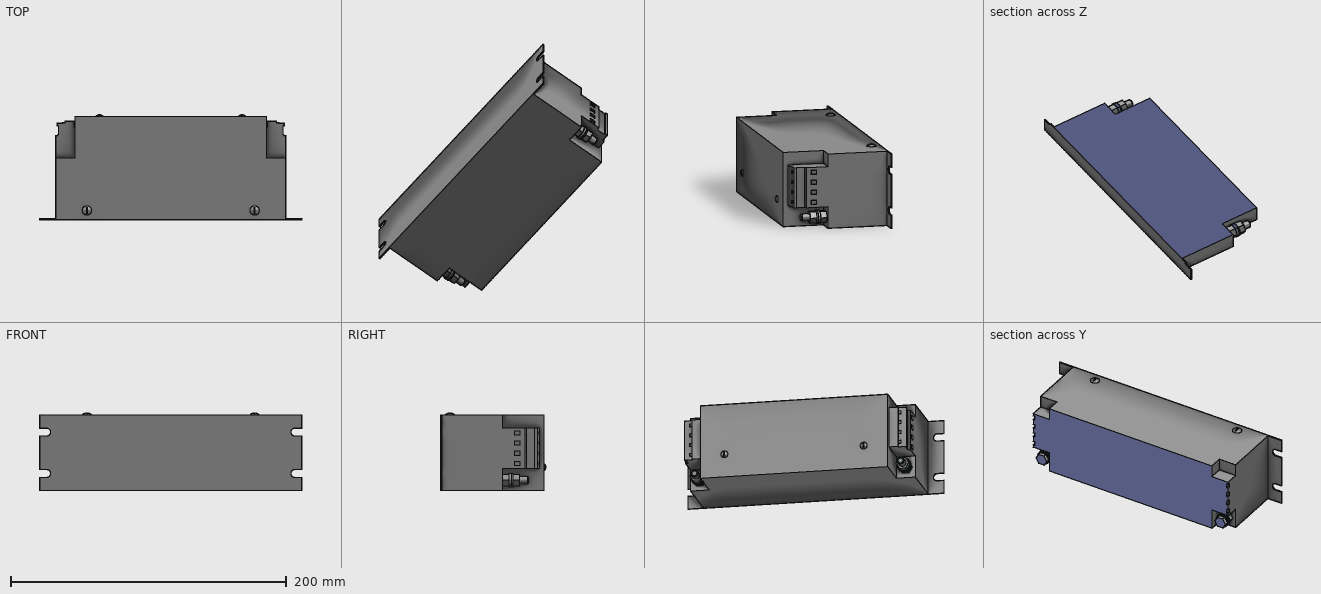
import cadquery as cq
import math

plate_length = 190.0
plate_thickness = 1.0
case_height = 55.0
notch_width = 5.5
notch_depth = 7.8
notch_spacing = 30.0

case_length = 166.8
shoulder_y = 45.0
rear_length = 139.0
rear_y = 75.0

top_screw_diameter = 6.8
top_screw_height = 1.5
top_screw_spacing = 121.6
top_screw_y = 6.8
rear_screw_diameter = 5.1
rear_screw_height = 1.3
rear_screw_spacing = 103.4
rear_screw_z = 17.1
screw_slot_width = 0.5
screw_slot_depth = 0.5

pole_count = 4
pole_pitch = 7.5
terminal_bottom_z = 16.0
terminal_top_y = 71.6
terminal_ledge_y = 70.1
terminal_ledge_inset = 6.8
lip_bottom_y = 68.2
lip_inset = 1.0
groove_inset = 1.9
groove_bottom_y = 62.1
groove_chamfer = 1.0
back_gap_width = 0.4
back_gap_bottom_y = 67.3
window_length = 4.0
window_height = 3.0
window_center_y = 55.5
window_depth = 1.1
tab_length = 1.9
tab_width = 2.0
tab_height = 0.5

stud_diameter = 5.3
stud_tip_y = 63.6
stud_chamfer = 0.8
stud_z = 7.6
nut_across_flats = 8.2
lower_nut_top_y = 49.8
flat_washer_diameter = 9.9
flat_washer_top_y = 51.5
lock_washer_diameter = 9.7
lock_washer_top_y = 52.6
upper_nut_top_y = 57.4

case_end_x = case_length / 2
rear_end_x = rear_length / 2
terminal_height = pole_count * pole_pitch


def box_between(x_range, y_range, z_range):
    """Axis-aligned box spanning the three given ranges."""
    size = [high - low for low, high in (x_range, y_range, z_range)]
    corner = (x_range[0], y_range[0], z_range[0])
    return cq.Workplane("XY").box(*size, centered=False).translate(corner)


def mounting_plate():
    """Thin plate with two open round-ended notches at each end."""
    half_length = plate_length / 2
    plate = box_between((-half_length, half_length), (0, plate_thickness), (0, case_height))
    notches = (
        cq.Workplane("XZ", origin=(0, 0, case_height / 2))
        .rarray(plate_length, notch_spacing, 2, 2)
        .slot2D(2 * notch_depth, notch_width)
        .extrude(-plate_thickness)
    )
    return plate.cut(notches)


def case():
    """Stepped case: wide in front of the shoulders, narrow behind them."""
    front_part = box_between((-case_end_x, case_end_x), (0, shoulder_y), (0, case_height))
    rear_part = box_between((-rear_end_x, rear_end_x), (0, rear_y), (0, case_height))
    return front_part.union(rear_part)


def screw_head(diameter, height):
    """Dome on the XY plane, rising along +Z, with a driver slot along Y."""
    radius = diameter / 2
    sphere_radius = (radius**2 + height**2) / (2 * height)
    sphere_center_z = height - sphere_radius
    half_angle = math.asin(radius / sphere_radius) / 2
    arc_middle = (
        sphere_radius * math.sin(half_angle),
        sphere_center_z + sphere_radius * math.cos(half_angle),
    )
    dome = (
        cq.Workplane("XZ")
        .moveTo(0, 0)
        .lineTo(radius, 0)
        .threePointArc(arc_middle, (0, height))
        .close()
        .revolve(360, (0, 0), (0, 1))
    )
    half_slot = screw_slot_width / 2
    slot = box_between((-half_slot, half_slot), (-radius, radius), (height - screw_slot_depth, height))
    return dome.cut(slot)


def terminal_block():
    """Left terminal block, flush with the case end, with one wire window per pole."""
    outer_x = -case_end_x
    inner_x = -rear_end_x
    block = (
        cq.Workplane("XY", origin=(0, 0, terminal_bottom_z))
        .polyline(
            [
                (outer_x, shoulder_y),
                (outer_x, groove_bottom_y - groove_chamfer),
                (outer_x + groove_inset - groove_chamfer, groove_bottom_y - groove_chamfer),
                (outer_x + groove_inset, groove_bottom_y),
                (outer_x + groove_inset, lip_bottom_y),
                (outer_x + lip_inset, lip_bottom_y),
                (outer_x + lip_inset, terminal_ledge_y),
                (outer_x + terminal_ledge_inset, terminal_ledge_y),
                (outer_x + terminal_ledge_inset, terminal_top_y),
                (inner_x - back_gap_width, terminal_top_y),
                (inner_x - back_gap_width, back_gap_bottom_y),
                (inner_x, back_gap_bottom_y),
                (inner_x, shoulder_y),
            ]
        )
        .close()
        .extrude(terminal_height)
    )
    for pole in range(pole_count):
        pole_z = terminal_bottom_z + (pole + 0.5) * pole_pitch
        window = cq.Workplane("XY").box(2 * window_depth, window_length, window_height)
        block = block.cut(window.translate((outer_x, window_center_y, pole_z)))
        tab = box_between(
            (outer_x + terminal_ledge_inset - tab_length, outer_x + terminal_ledge_inset),
            (terminal_ledge_y, terminal_ledge_y + tab_height),
            (pole_z - tab_width / 2, pole_z + tab_width / 2),
        )
        block = block.union(tab)
    return block


def earth_stud():
    """Left threaded stud along +Y with two nuts and two washers between them."""
    stud_x = -(case_end_x + rear_end_x) / 2

    def section(start_y):
        return cq.Workplane("XZ", origin=(stud_x, start_y, stud_z))

    def disc(diameter, start_y, end_y):
        return section(start_y).circle(diameter / 2).extrude(start_y - end_y)

    def nut(start_y, end_y):
        corner_diameter = nut_across_flats / math.cos(math.pi / 6)
        return section(start_y).polygon(6, corner_diameter).extrude(start_y - end_y)

    stud = disc(stud_diameter, shoulder_y, stud_tip_y).faces(">Y").chamfer(stud_chamfer)
    stud = stud.union(nut(shoulder_y, lower_nut_top_y))
    stud = stud.union(disc(flat_washer_diameter, lower_nut_top_y, flat_washer_top_y))
    stud = stud.union(disc(lock_washer_diameter, flat_washer_top_y, lock_washer_top_y))
    return stud.union(nut(lock_washer_top_y, upper_nut_top_y))


result = mounting_plate().union(case())

top_screw = screw_head(top_screw_diameter, top_screw_height)
rear_screw = screw_head(rear_screw_diameter, rear_screw_height).rotate((0, 0, 0), (1, 0, 0), -90)
for side in (-1, 1):
    result = result.union(top_screw.translate((side * top_screw_spacing / 2, top_screw_y, case_height)))
    result = result.union(rear_screw.translate((side * rear_screw_spacing / 2, rear_y, rear_screw_z)))

connections = terminal_block().union(earth_stud())
result = result.union(connections).union(connections.mirror("YZ"))